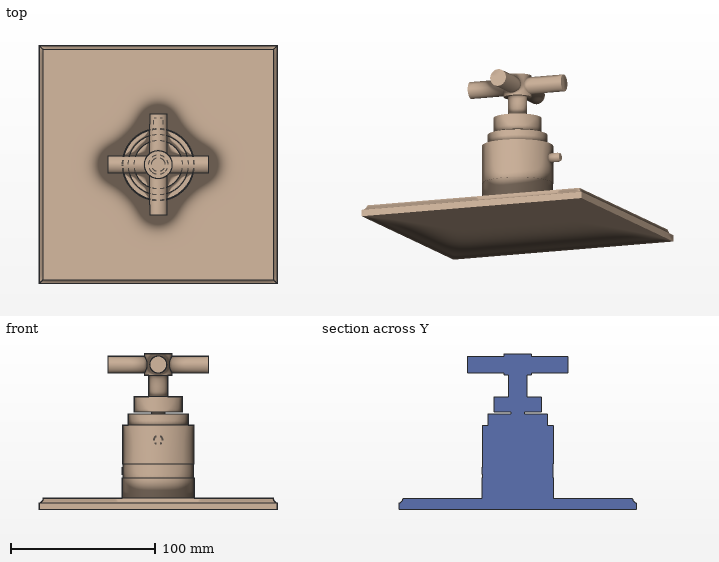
import cadquery as cq

plate_side = 165.1
plate_thickness = 8.0
plate_edge_height = 4.5
cove_inset = 2.75
cove_radius = plate_thickness - plate_edge_height

base_radius = 25.0
body_radius = 24.8
base_top = 22.0
scale_ring_radius = 24.5
scale_ring_top = 31.75
body_top = 58.5
shoulder_radius = 20.9
shoulder_top = 66.25
neck_radius = 4.75
neck_top = 67.5
cap_radius = 16.75
cap_top = 78.25
stem_radius = 6.75
stem_top = 93.0
hub_radius = 9.65
total_height = 108.05

arm_radius = 5.9
arm_span = 70.0
arm_height = (stem_top + total_height) / 2

button_radius = 3.2
button_tip = 32.25
button_height = 48.25
button_chamfer = 0.5
button_chamfer_length = 1.75

mark_width = 1.2
mark_height = 4.8
mark_center = (base_top + scale_ring_top) / 2
mark_depth = 2.0


def make_plate():
    """Square plate whose upper edge is swept away by a concave cove."""
    plate = cq.Workplane("XY").box(plate_side, plate_side, plate_thickness, centered=(True, True, False))
    half_side = plate_side / 2
    half_face = half_side - cove_inset
    for quarter in range(4):
        cove = (
            cq.Workplane("XZ")
            .moveTo(half_side, plate_edge_height)
            .radiusArc((half_face, plate_thickness), cove_radius)
            .lineTo(half_side, plate_thickness)
            .close()
            .extrude(half_side, both=True)
        )
        plate = plate.cut(cove.rotate((0, 0, 0), (0, 0, 1), 90 * quarter))
    return plate


def make_turned_stack():
    """Body, scale ring, shoulder, cap, stem and hub, stacked along Z."""
    sections = [
        (base_radius, base_top),
        (scale_ring_radius, scale_ring_top),
        (body_radius, body_top),
        (shoulder_radius, shoulder_top),
        (neck_radius, neck_top),
        (cap_radius, cap_top),
        (stem_radius, stem_top),
        (hub_radius, total_height),
    ]
    profile = cq.Workplane("XZ").moveTo(0, 0)
    bottom = 0
    for radius, top in sections:
        profile = profile.lineTo(radius, bottom).lineTo(radius, top)
        bottom = top
    return profile.lineTo(0, total_height).close().revolve(360, (0, 0, 0), (0, 1, 0))


def make_arm(plane):
    """Round bar crossing the hub along the normal of the given plane."""
    return cq.Workplane(plane, origin=(0, 0, arm_height)).circle(arm_radius).extrude(arm_span / 2, both=True)


def make_button():
    """Round button along +Y with a tapered tip."""
    return (
        cq.Workplane("XZ", origin=(0, 0, button_height))
        .circle(button_radius)
        .extrude(-button_tip)
        .faces(">Y")
        .chamfer(button_chamfer_length, button_chamfer)
    )


def make_index_mark():
    """Upright bar standing out of the scale ring, flush with the base."""
    return cq.Workplane("XY").box(mark_depth, mark_width, mark_height).translate(
        (mark_depth / 2 - base_radius, 0, mark_center)
    )


result = (
    make_plate()
    .union(make_turned_stack())
    .union(make_arm("YZ"))
    .union(make_arm("XZ"))
    .union(make_button())
    .union(make_index_mark())
)